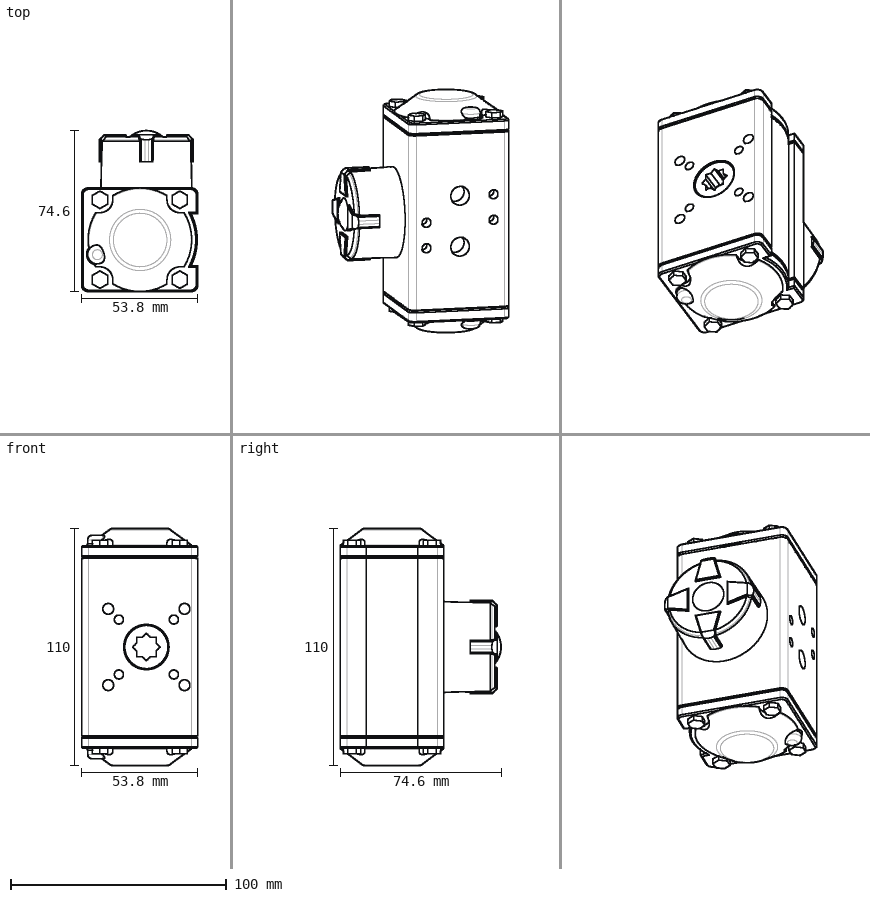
import cadquery as cq
import math


LEFT_X = -30.0
RIGHT_X = 23.8
HALF_DEPTH = 24.0
HALF_HOUSING_HEIGHT = 41.1
CORNER_RADIUS = 3.0

BORE_X = -3.0
CYLINDER_WALL_RADIUS = 26.6
HALF_RECESS_WIDTH = 12.0

GASKET_THICKNESS = 0.4
GASKET_INSET = 0.7
CAP_Z = HALF_HOUSING_HEIGHT + GASKET_THICKNESS
CAP_THICKNESS = 5.5
CAP_FACE_Z = CAP_Z + CAP_THICKNESS
CAP_EDGE_CHAMFER = 0.7

TOP_Z = 55.0
DOME_FOOT_RADIUS = 24.0
DOME_LIP_CHAMFER = 0.3
DOME_SHOULDER_RADIUS = 14.2
DOME_SHOULDER_Z = 54.25
DOME_ROUNDING_RADIUS = 13.4
DOME_ROUNDING_Z = 54.8
DOME_FLAT_RADIUS = 12.4

SCREW_OFFSET = 18.5
SCREW_ACROSS_FLATS = 7.0
SCREW_HEAD_HEIGHT = 2.5
SCREW_CLEARANCE_RADIUS = 5.95

BOSS_X = -22.8
BOSS_Y = -6.8
BOSS_DIAMETER = 8.8
BOSS_FOOT_DIAMETER = 9.7
BOSS_FOOT_HEIGHT = 0.8
BOSS_TOP_Z = 51.8
BOSS_EDGE_RADIUS = 2.1

SHAFT_DIAMETER = 20.0
SHAFT_RECESS = 0.4
SHAFT_MOUTH_CHAMFER = 0.5
STAR_ACROSS_FLATS = 9.0
STAR_DEPTH = 10.0

DRILL_POINT_ANGLE = 118.0
MOUNTING_PATTERNS = [
    (36.0, 4.2, 8.0),
    (50.0, 5.0, 10.0),
]
PORT_DIAMETER = 8.8
PORT_DEPTH = 10.0
PORT_SPACING = 24.0
SIDE_HOLE_DIAMETER = 4.2
SIDE_HOLE_DEPTH = 8.0
SIDE_HOLE_SPACING = 32.0

INDICATOR_BASE_RADIUS = 21.1
INDICATOR_RIM_RADIUS = 20.7
INDICATOR_RIM_Y = 45.6
INDICATOR_BEVEL_RADIUS = 20.0
INDICATOR_BEVEL_Y = 46.3
INDICATOR_FACE_RADIUS = 19.1
INDICATOR_FACE_Y = 47.7
BUTTON_RADIUS = 7.6
BUTTON_TOP_Y = 50.61

RIB_OUTER_RADIUS = 21.75
RIB_INNER_RADIUS = 9.4
RIB_INNER_WIDTH = 12.2
RIB_FOOT_RADIUS = 20.9
RIB_FOOT_WIDTH = 6.0
RIB_SHOULDER_RADIUS = 21.45
RIB_SHOULDER_WIDTH = 4.8
RIB_CROWN_WIDTH = 1.6
RIB_TOP_Y = 48.7
RIB_END_Y = 36.2
RIB_CORNER_CHAMFER = 2.4
RIB_EDGE_CHAMFER = 0.4


def block(z_start, height, inset=0.0):
    """Square block with rounded corners and the recess that bares the cylinder wall."""
    left = LEFT_X + inset
    right = RIGHT_X - inset
    half_depth = HALF_DEPTH - inset
    wall_radius = CYLINDER_WALL_RADIUS - inset
    width = right - left
    recess_width = 2 * (HALF_RECESS_WIDTH + inset)
    base = cq.Workplane("XY").workplane(offset=z_start)
    body = base.center((left + right) / 2, 0).rect(width, 2 * half_depth).extrude(height)
    body = body.edges("|Z").fillet(CORNER_RADIUS - inset)
    recess = base.center(right, 0).rect(width / 2, recess_width).extrude(height)
    wall = base.center(BORE_X, 0).circle(wall_radius).extrude(height)
    return body.cut(recess.cut(wall))


def drill(diameter, depth, mouth, direction):
    """Blind hole with a conical bottom, as a cutter."""
    radius = diameter / 2
    point = radius / math.tan(math.radians(DRILL_POINT_ANGLE / 2))
    mouth_plane = cq.Plane(origin=mouth, xDir=(0, 0, 1), normal=direction)
    profile = (
        cq.Workplane("XZ")
        .polyline([(0, 0), (radius, 0), (radius, depth), (0, depth + point)])
        .close()
    )
    cutter = profile.revolve(360, (0, 0), (0, 1))
    return cutter.val().moved(cq.Location(mouth_plane))


def make_housing():
    housing = block(-HALF_HOUSING_HEIGHT, 2 * HALF_HOUSING_HEIGHT)

    bore_profile = (
        cq.Workplane("XY")
        .moveTo(0, -HALF_DEPTH)
        .lineTo(SHAFT_DIAMETER / 2 + SHAFT_MOUTH_CHAMFER, -HALF_DEPTH)
        .lineTo(SHAFT_DIAMETER / 2, -HALF_DEPTH + SHAFT_MOUTH_CHAMFER)
        .lineTo(SHAFT_DIAMETER / 2, HALF_DEPTH)
        .lineTo(0, HALF_DEPTH)
        .close()
    )
    housing = housing.cut(bore_profile.revolve(360, (0, 0), (0, 1)))

    for circle_diameter, hole_diameter, depth in MOUNTING_PATTERNS:
        offset = circle_diameter / 2 * math.sin(math.radians(45))
        for x in (-offset, offset):
            for z in (-offset, offset):
                housing = housing.cut(drill(hole_diameter, depth, (x, -HALF_DEPTH, z), (0, 1, 0)))

    for side in (-1, 1):
        port_z = side * PORT_SPACING / 2
        hole_y = side * SIDE_HOLE_SPACING / 2
        housing = housing.cut(drill(PORT_DIAMETER, PORT_DEPTH, (LEFT_X, 0, port_z), (1, 0, 0)))
        for z in (0, -port_z):
            mouth = (LEFT_X, hole_y, z)
            housing = housing.cut(drill(SIDE_HOLE_DIAMETER, SIDE_HOLE_DEPTH, mouth, (1, 0, 0)))
    return housing


def make_gasket():
    return block(HALF_HOUSING_HEIGHT, GASKET_THICKNESS, GASKET_INSET)


def make_dome():
    rim_z = CAP_FACE_Z + DOME_LIP_CHAMFER
    rounding_mid = (DOME_ROUNDING_RADIUS, DOME_ROUNDING_Z)
    profile = (
        cq.Workplane("XZ")
        .moveTo(0, CAP_Z)
        .lineTo(DOME_FOOT_RADIUS, CAP_Z)
        .lineTo(DOME_FOOT_RADIUS, CAP_FACE_Z)
        .lineTo(DOME_FOOT_RADIUS - DOME_LIP_CHAMFER, rim_z)
        .lineTo(DOME_SHOULDER_RADIUS, DOME_SHOULDER_Z)
        .threePointArc(rounding_mid, (DOME_FLAT_RADIUS, TOP_Z))
        .lineTo(0, TOP_Z)
        .close()
    )
    dome = profile.revolve(360, (0, 0), (0, 1))

    pocket_reach = DOME_FOOT_RADIUS
    pocket_size = pocket_reach - SCREW_OFFSET + SCREW_CLEARANCE_RADIUS
    pocket_centre = pocket_reach - pocket_size / 2
    pocket = (
        cq.Workplane("XY")
        .workplane(offset=CAP_FACE_Z)
        .center(pocket_centre, pocket_centre)
        .rect(pocket_size, pocket_size)
        .extrude(TOP_Z - CAP_FACE_Z)
        .edges("|Z and <X and <Y")
        .fillet(SCREW_CLEARANCE_RADIUS)
    )
    for corner in range(4):
        dome = dome.cut(pocket.rotate((0, 0, 0), (0, 0, 1), 90 * corner))
    return dome.translate((BORE_X, 0, 0))


def make_boss():
    base = cq.Workplane("XY", origin=(BOSS_X, BOSS_Y, CAP_FACE_Z))
    boss = base.circle(BOSS_DIAMETER / 2).extrude(BOSS_TOP_Z - CAP_FACE_Z)
    boss = boss.faces(">Z").edges().fillet(BOSS_EDGE_RADIUS)
    foot = (
        base.circle(BOSS_FOOT_DIAMETER / 2)
        .workplane(offset=BOSS_FOOT_HEIGHT)
        .circle(BOSS_DIAMETER / 2)
        .loft()
    )
    return boss.union(foot)


def make_end_cap():
    cap = block(CAP_Z, CAP_THICKNESS).faces("|Z").edges().chamfer(CAP_EDGE_CHAMFER)
    cap = cap.union(make_dome())
    screw_heads = (
        cq.Workplane("XY", origin=(BORE_X, 0, CAP_FACE_Z))
        .rect(2 * SCREW_OFFSET, 2 * SCREW_OFFSET, forConstruction=True)
        .vertices()
        .polygon(6, SCREW_ACROSS_FLATS, circumscribed=True)
        .extrude(SCREW_HEAD_HEIGHT)
    )
    cap = cap.union(screw_heads)
    return cap.union(make_boss())


def make_shaft():
    front_y = -HALF_DEPTH + SHAFT_RECESS
    front = cq.Workplane("XZ", origin=(0, front_y, 0))
    shaft = front.circle(SHAFT_DIAMETER / 2).extrude(-(HALF_DEPTH - front_y))
    for angle in (0, 45):
        square = front.rect(STAR_ACROSS_FLATS, STAR_ACROSS_FLATS).extrude(-STAR_DEPTH)
        shaft = shaft.cut(square.rotate((0, 0, 0), (0, 1, 0), angle))
    return shaft


def make_rib():
    """Rib on the +X side of the indicator, covering part of its face and side."""
    half_outline = [
        (RIB_INNER_RADIUS, RIB_INNER_WIDTH / 2),
        (RIB_FOOT_RADIUS, RIB_FOOT_WIDTH / 2),
        (RIB_SHOULDER_RADIUS, RIB_SHOULDER_WIDTH / 2),
        (RIB_OUTER_RADIUS, RIB_CROWN_WIDTH / 2),
    ]
    other_half = [(x, -z) for x, z in reversed(half_outline)]
    rib = (
        cq.Workplane("XZ", origin=(0, RIB_END_Y, 0))
        .polyline(half_outline + other_half)
        .close()
        .extrude(-(RIB_TOP_Y - RIB_END_Y))
    )
    rib = rib.faces(">Y").edges().chamfer(RIB_EDGE_CHAMFER)
    corner = (
        cq.Workplane("XY")
        .polyline(
            [
                (RIB_OUTER_RADIUS, RIB_TOP_Y),
                (RIB_OUTER_RADIUS - RIB_CORNER_CHAMFER, RIB_TOP_Y),
                (RIB_OUTER_RADIUS, RIB_TOP_Y - RIB_CORNER_CHAMFER),
            ]
        )
        .close()
        .extrude(RIB_INNER_WIDTH / 2, both=True)
    )
    return rib.cut(corner)


def make_indicator():
    button_rise = BUTTON_TOP_Y - INDICATOR_FACE_Y
    button_sphere = (BUTTON_RADIUS ** 2 + button_rise ** 2) / (2 * button_rise)
    half_radius = BUTTON_RADIUS / 2
    button_mid_y = BUTTON_TOP_Y - button_sphere + math.sqrt(button_sphere ** 2 - half_radius ** 2)
    profile = (
        cq.Workplane("XY")
        .moveTo(0, HALF_DEPTH)
        .lineTo(INDICATOR_BASE_RADIUS, HALF_DEPTH)
        .lineTo(INDICATOR_RIM_RADIUS, INDICATOR_RIM_Y)
        .lineTo(INDICATOR_BEVEL_RADIUS, INDICATOR_BEVEL_Y)
        .lineTo(INDICATOR_FACE_RADIUS, INDICATOR_FACE_Y)
        .lineTo(BUTTON_RADIUS, INDICATOR_FACE_Y)
        .threePointArc((half_radius, button_mid_y), (0, BUTTON_TOP_Y))
        .close()
    )
    indicator = profile.revolve(360, (0, 0), (0, 1))
    for quarter in range(4):
        indicator = indicator.union(make_rib().rotate((0, 0, 0), (0, 1, 0), 90 * quarter))
    return indicator


housing = make_housing()
shaft = make_shaft()
indicator = make_indicator()

gaskets = [make_gasket(), make_gasket().mirror("XY")]
end_caps = [make_end_cap(), make_end_cap().mirror("XY")]

result = cq.Compound.makeCompound(
    [
        housing.val(),
        *[gasket.val() for gasket in gaskets],
        *[end_cap.val() for end_cap in end_caps],
        shaft.val(),
        indicator.val(),
    ]
)